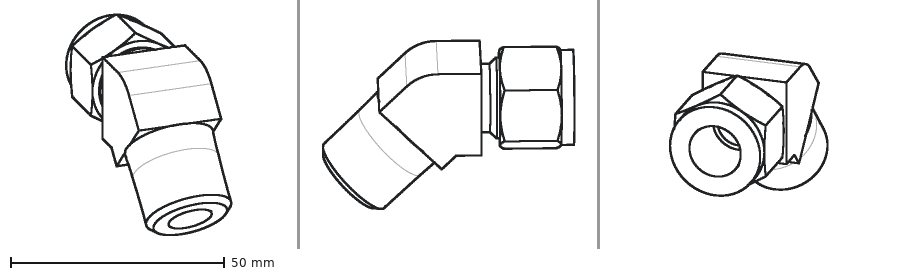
import cadquery as cq
import math

overall_length = 58.8

collar_diameter = 22.35
collar_length = 3.0
hex_across_flats = 22.35
hex_across_corners = hex_across_flats / math.cos(math.radians(30))
nut_end = 17.4
hex_chamfer_angle = 30.0

flange_radius = 9.5
flange_end = 18.1
neck_radius = 8.05
neck_cone_end = 19.7

block_width = 20.7
block_start = 21.8
bend_angle = 45.0
block_outlet_length = 9.1

outlet_base_radius = 10.7
outlet_middle_radius = 10.45
outlet_middle = 15.5
outlet_tip_radius = 10.35
tip_chamfer = 1.4
outlet_length = 28.9

bore_diameter = 10.45
socket_diameter = 12.7
socket_depth = nut_end

half_width = block_width / 2
angle = math.radians(bend_angle)
miter_shift = half_width * math.tan(angle / 2)
chamfer_start = outlet_length - tip_chamfer
bend_x = overall_length - chamfer_start * math.cos(angle) - outlet_tip_radius * math.sin(angle)
bend_point = (bend_x, 0, 0)
outlet_direction = (math.cos(angle), 0, -math.sin(angle))
inlet_plane = cq.Plane.YZ()
outlet_plane = cq.Plane(origin=bend_point, xDir=(0, 1, 0), normal=outlet_direction)


def revolve_about_x(profile):
    return cq.Workplane("XY").polyline(profile).close().revolve(360, (0, 0, 0), (1, 0, 0))


def make_nut():
    length = nut_end - collar_length
    flat_radius = hex_across_flats / 2
    corner_radius = hex_across_corners / 2
    chamfer_length = (corner_radius - flat_radius) * math.tan(math.radians(hex_chamfer_angle))
    hexagon = (
        cq.Workplane("YZ", origin=(collar_length, 0, 0))
        .transformed(rotate=(0, 0, 90))
        .polygon(6, hex_across_corners)
        .extrude(length)
    )
    envelope = revolve_about_x([
        (collar_length, 0),
        (collar_length, flat_radius),
        (collar_length + chamfer_length, corner_radius),
        (nut_end - chamfer_length, corner_radius),
        (nut_end, flat_radius),
        (nut_end, 0),
    ])
    collar = cq.Workplane("YZ").circle(collar_diameter / 2).extrude(collar_length)
    return hexagon.intersect(envelope).union(collar)


def make_neck():
    return revolve_about_x([
        (nut_end, 0),
        (nut_end, flange_radius),
        (flange_end, flange_radius),
        (neck_cone_end, neck_radius),
        (block_start, neck_radius),
        (block_start, 0),
    ])


def make_block():
    def outlet_point(side):
        """Corner of the outlet face; side is +1 outside the bend, -1 inside."""
        x = bend_x + block_outlet_length * math.cos(angle) + side * half_width * math.sin(angle)
        z = -block_outlet_length * math.sin(angle) + side * half_width * math.cos(angle)
        return x, z

    outer_corner = (bend_x + miter_shift, half_width)
    return (
        cq.Workplane("XZ")
        .polyline([
            (block_start, half_width),
            outer_corner,
            outlet_point(1),
            outlet_point(-1),
            (bend_x - miter_shift, -half_width),
            (block_start, -half_width),
        ])
        .close()
        .extrude(half_width, both=True)
        .edges(cq.selectors.NearestToPointSelector((outer_corner[0], 0, outer_corner[1])))
        .fillet(half_width)
    )


def make_outlet():
    profile = [
        (block_outlet_length, 0),
        (block_outlet_length, outlet_base_radius),
        (outlet_middle, outlet_middle_radius),
        (chamfer_start, outlet_tip_radius),
        (outlet_length, outlet_tip_radius - tip_chamfer),
        (outlet_length, 0),
    ]
    return revolve_about_x(profile).rotate((0, 0, 0), (0, 1, 0), bend_angle).translate(bend_point)


def make_passage():
    inlet_bore = cq.Workplane(inlet_plane).circle(bore_diameter / 2).extrude(bend_x)
    outlet_bore = cq.Workplane(outlet_plane).circle(bore_diameter / 2).extrude(outlet_length)
    elbow = cq.Workplane("XY").sphere(bore_diameter / 2).translate(bend_point)
    socket = cq.Workplane(inlet_plane).circle(socket_diameter / 2).extrude(socket_depth)
    return inlet_bore.union(elbow).union(outlet_bore).union(socket)


body = make_nut().union(make_neck()).union(make_block()).union(make_outlet())
result = body.cut(make_passage())